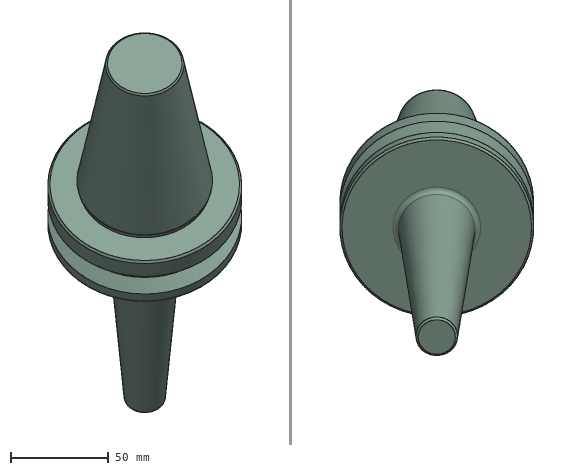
import cadquery as cq

total_length = 289.8
taper_length = 101.7
flange_gap = 3.2
flange_height = 35.0
collar_height = 3.0
gauge_z = total_length - taper_length
flange_top_z = gauge_z - flange_gap
flange_bottom_z = flange_top_z - flange_height
shank_top_z = flange_bottom_z - collar_height

taper_ratio = 7 / 24
gauge_radius = 34.92
taper_end_radius = gauge_radius - taper_length * taper_ratio / 2
taper_end_chamfer = 1.0
relief_radius = 34.2

flange_radius = 50.0
flange_chamfer = 1.2
upper_rim_height = 12.2
lower_rim_height = 7.5
groove_radius = 42.5
groove_wall_height = 4.3
groove_top_z = flange_top_z - upper_rim_height
groove_bottom_z = flange_bottom_z + lower_rim_height

collar_fillet = 3.0
shank_top_radius = 19.7
tip_radius = 10.7
tip_chamfer = 1.2


def revolved(points):
    """Revolve a closed (radius, z) outline about the Z axis."""
    return cq.Workplane("XZ").polyline(points).close().revolve(360, (0, 0), (0, 1))


taper = revolved([
    (0, flange_top_z),
    (relief_radius, flange_top_z),
    (relief_radius, gauge_z - (gauge_radius - relief_radius)),
    (gauge_radius, gauge_z),
    (taper_end_radius, total_length),
    (0, total_length),
]).faces(">Z").chamfer(taper_end_chamfer)

flange = revolved([
    (0, flange_bottom_z),
    (flange_radius - flange_chamfer, flange_bottom_z),
    (flange_radius, flange_bottom_z + flange_chamfer),
    (flange_radius, groove_bottom_z),
    (groove_radius, groove_bottom_z + groove_wall_height),
    (groove_radius, groove_top_z - groove_wall_height),
    (flange_radius, groove_top_z),
    (flange_radius, flange_top_z - flange_chamfer),
    (flange_radius - flange_chamfer, flange_top_z),
    (0, flange_top_z),
])

shank = revolved([
    (0, 0),
    (tip_radius - tip_chamfer, 0),
    (tip_radius, tip_chamfer),
    (shank_top_radius, shank_top_z),
    (shank_top_radius, flange_bottom_z),
    (0, flange_bottom_z),
])

collar = (
    cq.Workplane("XZ")
    .moveTo(0, shank_top_z)
    .lineTo(shank_top_radius, shank_top_z)
    .radiusArc((shank_top_radius + collar_fillet, flange_bottom_z), collar_fillet)
    .lineTo(0, flange_bottom_z)
    .close()
    .revolve(360, (0, 0), (0, 1))
)

result = taper.union(flange).union(shank).union(collar)